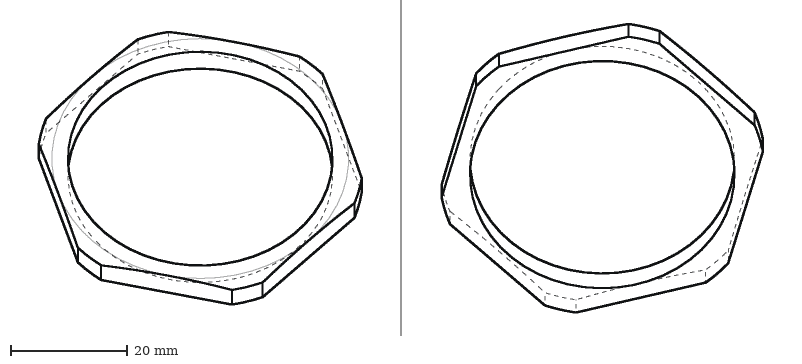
import cadquery as cq
import math

corner_diameter = 56.0
across_flats = 51.0
thickness = 5.0
bore_diameter = 45.45
chamfer_angle = 15.0

chamfer_width = (corner_diameter - across_flats) / 2
chamfer_drop = chamfer_width * math.tan(math.radians(chamfer_angle))
across_corners = across_flats / math.cos(math.pi / 6)


def hexagon_prism():
    """Hexagon with two corners on the X axis."""
    return cq.Workplane("XY").polygon(6, across_corners).extrude(thickness)


def chamfered_disc():
    """Round blank whose conical upper edge shapes the hexagon corners."""
    profile = [
        (0, 0),
        (corner_diameter / 2, 0),
        (corner_diameter / 2, thickness - chamfer_drop),
        (across_flats / 2, thickness),
        (0, thickness),
    ]
    return cq.Workplane("XZ").polyline(profile).close().revolve(360, (0, 0, 0), (0, 1, 0))


def bore():
    """Plain through bore."""
    return cq.Workplane("XY").circle(bore_diameter / 2).extrude(thickness)


result = hexagon_prism().intersect(chamfered_disc()).cut(bore())